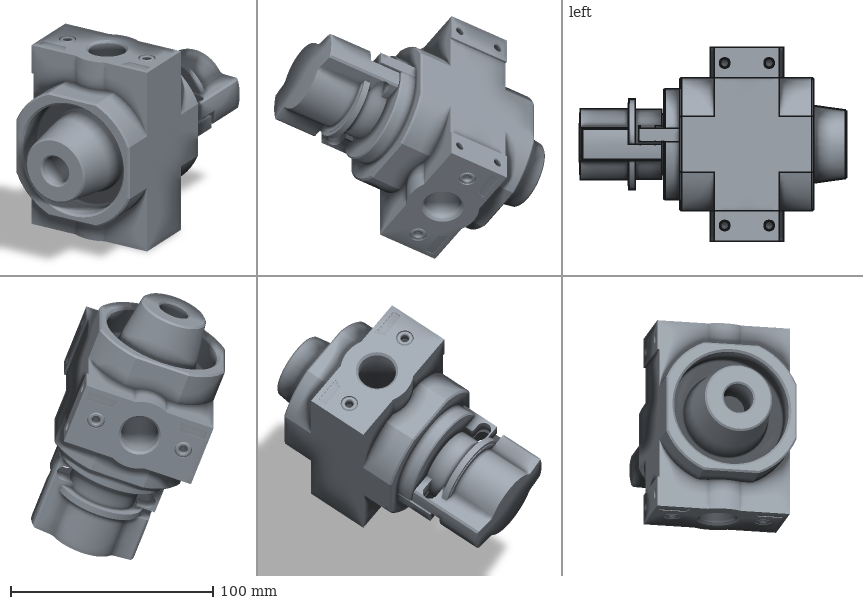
import cadquery as cq
import math


housing_half_width = 33.0
housing_half_height = 33.0
housing_half_length = 33.1
barrel_radius = 35.8
barrel_chamfer = 0.9
plate_half_length = 16.1

flow_core_diameter = 18.63
flow_mouth_diameter = 20.95
exhaust_core_diameter = 14.95
exhaust_mouth_diameter = 16.66
exhaust_port_depth = 22.0

cavity_diameter = 58.0
cavity_floor_y = -18.4
cavity_floor_fillet = 1.0
cavity_mouth_chamfer = 1.1
nozzle_end_y = -49.5
nozzle_root_diameter = 43.0
nozzle_tip_diameter = 34.0
nozzle_tip_chamfer = 0.9
nozzle_root_fillet = 0.8
root_edge_margin = 0.1

thread_core_diameter = 4.13
thread_mouth_diameter = 5.0
drill_tip_angle = 118.0

flange_left_x = -34.1
flange_right_x = 33.0
flange_thickness = 15.0
flange_top_z = housing_half_height + flange_thickness
flange_boss_radius = 18.15
side_hole_depth = 8.0
side_hole_spacing = 22.0
side_hole_height = 40.2

label_edge_gap = 2.4
label_inner_top_x = 18.4
label_inner_bottom_x = 16.4
label_top_y = -9.0
label_bottom_y = -13.4
label_corner_radius = 0.4
label_depth = 0.3

screw_offset = 23.0
screw_points = [(-screw_offset, 0), (screw_offset, 0)]
screw_diameter = 8.2
screw_chamfer = 0.6
screw_length = 8.0
screw_bore_diameter = 8.5
screw_hole_depth = 4.0

bonnet_radius = 27.5
bonnet_end_y = 41.2
bonnet_chamfer = 0.7
arm_outer_x = 27.7
arm_inner_x = 17.8
arm_low_z = 1.35
arm_high_z = 8.0
arm_end_y = 53.4
arm_fillet_radius = 3.6
arm_fillet_start_x = 20.4

knob_radius = 17.6
shank_radius = 17.4
knob_bottom_y = 42.1
knob_top_y = 83.08
dome_radius = 250.0
stem_radius = 15.0
ring_radius = 22.4
ring_bottom_y = 55.2
ring_top_y = 58.4
collar_radius = 20.4
collar_top_y = 58.7
wing_radius = 27.3
wing_half_thickness = 8.2
wing_edge_chamfer = 0.9
wing_end_chamfer = 0.5
wing_blend_radius = 3.2

lock_slot_width = 7.3
lock_slot_y = 49.0
wing_slot_end_x = 25.4
arm_slot_end_x = 26.2


def cylinder_y(radius, y_start, y_end):
    """Cylinder on the Y axis between two Y positions."""
    base = cq.Workplane("XZ", origin=(0, y_start, 0))
    return base.circle(radius).extrude(-(y_end - y_start))


def block(x_range, y_range, z_range):
    """Rectangular block between two corners."""
    lows, highs = zip(x_range, y_range, z_range)
    sizes = [high - low for low, high in zip(lows, highs)]
    return cq.Workplane("XY").box(*sizes, centered=False).translate(lows)


def revolve_y(profile_points):
    """Solid of revolution about Y from (radius, y) points."""
    return cq.Workplane("XY").polyline(profile_points).close().revolve(360, (0, 0), (0, 1))


def blind_hole(core_diameter, mouth_diameter, depth):
    """Drilled hole cutter entering the XY plane downwards: chamfered mouth, conical bottom."""
    core_radius = core_diameter / 2
    mouth_radius = mouth_diameter / 2
    tip_depth = depth + core_radius / math.tan(math.radians(drill_tip_angle / 2))
    outline = cq.Workplane("XZ").moveTo(0, 0).lineTo(mouth_radius, 0)
    outline = outline.lineTo(core_radius, core_radius - mouth_radius)
    outline = outline.lineTo(core_radius, -depth).lineTo(0, -tip_depth).close()
    return outline.revolve(360, (0, 0), (0, 1))


def half_turn(shape):
    """Copy of a shape turned half round the knob axis."""
    return shape.rotate((0, 0, 0), (0, 1, 0), 180)


def mirrored(shape):
    """Copy of a shape mirrored from the top to the bottom of the valve."""
    return shape.mirror("XY")


def make_nozzle():
    core_radius = exhaust_core_diameter / 2
    mouth_radius = exhaust_mouth_diameter / 2
    tip_radius = nozzle_tip_diameter / 2
    bore_end_y = nozzle_end_y + exhaust_port_depth
    return revolve_y([
        (0, cavity_floor_y),
        (nozzle_root_diameter / 2, cavity_floor_y),
        (tip_radius, nozzle_end_y + nozzle_tip_chamfer),
        (tip_radius - nozzle_tip_chamfer, nozzle_end_y),
        (mouth_radius, nozzle_end_y),
        (core_radius, nozzle_end_y + mouth_radius - core_radius),
        (core_radius, bore_end_y),
        (0, bore_end_y),
    ])


def make_flow_bore(half_length):
    """Cutter for the flow port through the whole valve, widened at both ends."""
    core_radius = flow_core_diameter / 2
    mouth_radius = flow_mouth_diameter / 2
    chamfer_z = half_length - (mouth_radius - core_radius)
    outline = cq.Workplane("XZ").moveTo(0, -half_length).lineTo(mouth_radius, -half_length)
    outline = outline.lineTo(core_radius, -chamfer_z).lineTo(core_radius, chamfer_z)
    outline = outline.lineTo(mouth_radius, half_length).lineTo(0, half_length).close()
    return outline.revolve(360, (0, 0), (0, 1))


def make_housing():
    envelope_x = (-housing_half_width, housing_half_width)
    envelope_z = (-housing_half_height, housing_half_height)
    envelope = block(envelope_x, (-housing_half_length, housing_half_length), envelope_z)
    barrel = cylinder_y(barrel_radius, -housing_half_length, housing_half_length).intersect(envelope)
    barrel = barrel.faces("<Y or >Y").chamfer(barrel_chamfer)
    plate = block(envelope_x, (-plate_half_length, plate_half_length), envelope_z)
    cavity = cylinder_y(cavity_diameter / 2, -housing_half_length, cavity_floor_y)
    cavity = cavity.faces(">Y").edges().fillet(cavity_floor_fillet)
    mouth_radius = cavity_diameter / 2 + cavity_mouth_chamfer
    mouth = revolve_y([
        (0, -housing_half_length),
        (mouth_radius, -housing_half_length),
        (mouth_radius - cavity_mouth_chamfer, -housing_half_length + cavity_mouth_chamfer),
        (0, -housing_half_length + cavity_mouth_chamfer),
    ])
    body = barrel.union(plate).cut(cavity).cut(mouth).union(make_nozzle())
    reach = nozzle_root_diameter / 2 + root_edge_margin
    root_box = cq.selectors.BoxSelector(
        (-reach, cavity_floor_y - root_edge_margin, -reach),
        (reach, cavity_floor_y + root_edge_margin, reach),
        boundingbox=True,
    )
    body = body.edges(root_box).fillet(nozzle_root_fillet)
    return body.cut(flow_bore)


def make_label(side, edge_x):
    """Recess cutter for one label field; side is -1 for left and +1 for right."""
    outer_x = edge_x - side * label_edge_gap
    field = cq.Workplane("XY", origin=(0, 0, flange_top_z)).polyline([
        (outer_x, label_top_y),
        (side * label_inner_top_x, label_top_y),
        (side * label_inner_bottom_x, label_bottom_y),
        (outer_x, label_bottom_y),
    ]).close().extrude(-label_depth)
    return field.edges("|Z").fillet(label_corner_radius)


def make_flange():
    """Upper flange with its boss, screw counterbores, side holes and label recesses."""
    flange = block(
        (flange_left_x, flange_right_x),
        (-plate_half_length, plate_half_length),
        (housing_half_height, flange_top_z),
    )
    boss = cq.Workplane("XY", origin=(0, 0, housing_half_height))
    flange = flange.union(boss.circle(flange_boss_radius).extrude(flange_thickness))
    bores = cq.Workplane("XY", origin=(0, 0, flange_top_z)).pushPoints(screw_points)
    flange = flange.cut(bores.circle(screw_bore_diameter / 2).extrude(-screw_length))
    for y in (-side_hole_spacing / 2, side_hole_spacing / 2):
        hole = blind_hole(thread_core_diameter, thread_mouth_diameter, side_hole_depth)
        hole = hole.rotate((0, 0, 0), (0, 1, 0), -90)
        flange = flange.cut(hole.translate((flange_left_x, y, side_hole_height)))
    for side, edge_x in ((-1, flange_left_x), (1, flange_right_x)):
        flange = flange.cut(make_label(side, edge_x))
    return flange.cut(flow_bore)


def make_screw(x, y):
    """Upper flange screw, flush with the flange face."""
    screw = cq.Workplane("XY").circle(screw_diameter / 2).extrude(-screw_length)
    screw = screw.faces(">Z").edges().chamfer(screw_chamfer)
    screw = screw.cut(blind_hole(thread_core_diameter, thread_mouth_diameter, screw_hole_depth))
    return screw.translate((x, y, flange_top_z))


def make_lock_slot(end_x):
    """Cutter for the left padlock slot, round at its outer end and open to the knob."""
    slot_radius = lock_slot_width / 2
    round_end = cq.Workplane("XY", origin=(slot_radius - end_x, lock_slot_y, 0))
    round_end = round_end.circle(slot_radius).extrude(wing_radius, both=True)
    straight = block(
        (slot_radius - end_x, 0),
        (lock_slot_y - slot_radius, lock_slot_y + slot_radius),
        (-wing_radius, wing_radius),
    )
    return round_end.union(straight)


def make_arm():
    """Left locking arm: a bar whose inner edge curves up beside the knob."""
    rise_run = arm_fillet_start_x - arm_inner_x
    rise = arm_fillet_radius - math.sqrt(arm_fillet_radius ** 2 - rise_run ** 2)
    half_angle = math.asin(rise_run / arm_fillet_radius) / 2
    middle_x = -arm_fillet_start_x + arm_fillet_radius * math.sin(half_angle)
    middle_z = arm_high_z + arm_fillet_radius * (1 - math.cos(half_angle))
    section = cq.Workplane("XZ", origin=(0, housing_half_length, 0)).moveTo(-arm_outer_x, arm_low_z)
    section = section.lineTo(-arm_inner_x, arm_low_z).lineTo(-arm_inner_x, arm_high_z + rise)
    section = section.threePointArc((middle_x, middle_z), (-arm_fillet_start_x, arm_high_z))
    section = section.lineTo(-arm_outer_x, arm_high_z).close()
    arm = section.extrude(-(arm_end_y - housing_half_length))
    return arm.cut(make_lock_slot(arm_slot_end_x))


def make_bonnet():
    bonnet = cylinder_y(bonnet_radius, housing_half_length, bonnet_end_y)
    bonnet = bonnet.faces(">Y").edges().chamfer(bonnet_chamfer)
    arm = make_arm()
    return bonnet.union(arm).union(half_turn(arm))


def make_wings(y_start):
    """Two-winged bar from a Y position to the knob top, with chamfered outer edges."""
    bar = block(
        (-2 * wing_radius, 2 * wing_radius),
        (y_start, knob_top_y),
        (-wing_half_thickness, wing_half_thickness),
    )
    bar = bar.intersect(cylinder_y(wing_radius, y_start, knob_top_y))
    return bar.edges("|Y").chamfer(wing_edge_chamfer)


def make_wing_blends():
    """Concave blends between the grip cylinder and the wing faces."""
    blend_z = wing_half_thickness + wing_blend_radius
    blend_x = math.sqrt((knob_radius + wing_blend_radius) ** 2 - blend_z ** 2)
    contact = knob_radius / (knob_radius + wing_blend_radius)
    filler = block(
        (-blend_x, blend_x),
        (collar_top_y, knob_top_y),
        (-blend_z * contact, blend_z * contact),
    )
    for side_x in (-blend_x, blend_x):
        for side_z in (-blend_z, blend_z):
            groove = cylinder_y(wing_blend_radius, collar_top_y, knob_top_y)
            filler = filler.cut(groove.translate((side_x, 0, side_z)))
    return filler


def make_knob():
    grip = cylinder_y(knob_radius, ring_top_y, knob_top_y)
    shank = cylinder_y(shank_radius, knob_bottom_y, ring_top_y)
    ring = cylinder_y(ring_radius, ring_bottom_y, ring_top_y)
    collar = cylinder_y(collar_radius, ring_top_y, collar_top_y)
    stem = cylinder_y(stem_radius, bonnet_end_y, knob_bottom_y)
    upper_wings = make_wings(collar_top_y)
    upper_wings = upper_wings.union(make_wing_blends())

    left_half = block(
        (-wing_radius, 0),
        (knob_bottom_y, collar_top_y),
        (-wing_half_thickness, 0),
    )
    lower_wing = make_wings(knob_bottom_y).intersect(left_half)
    lower_wing = lower_wing.cut(make_lock_slot(wing_slot_end_x))

    knob = grip.union(shank).union(upper_wings).union(ring).union(collar).union(stem)
    knob = knob.union(lower_wing).union(half_turn(lower_wing))

    dome = cq.Workplane("XY").sphere(dome_radius).translate((0, knob_top_y - dome_radius, 0))
    dome_edge_y = knob_top_y - dome_radius + math.sqrt(dome_radius ** 2 - wing_radius ** 2)
    bevel = revolve_y([
        (0, bonnet_end_y),
        (wing_radius, bonnet_end_y),
        (wing_radius, dome_edge_y - wing_end_chamfer),
        (0, dome_edge_y - wing_end_chamfer + wing_radius),
    ])
    return knob.intersect(dome).intersect(bevel)


flow_bore = make_flow_bore(flange_top_z)

housing = make_housing()
upper_flange = make_flange()
flanges = [upper_flange, mirrored(upper_flange)]
screws = []
for x, y in screw_points:
    upper_screw = make_screw(x, y)
    screws += [upper_screw, mirrored(upper_screw)]
bonnet = make_bonnet()
knob = make_knob()

bodies = [housing, *flanges, *screws, bonnet, knob]
result = cq.Compound.makeCompound([body.val() for body in bodies])